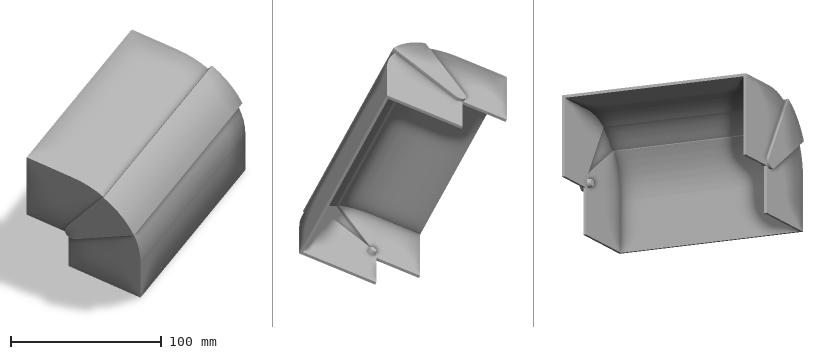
import cadquery as cq
import math

bend_radius = 52.1
arm_length = 35.9
edge_offset = 3.6
sheet = 2.0
fixed_half_width = 67.5
side_clearance = 0.1
swing_half_width = fixed_half_width - side_clearance

total_half_width = 69.8
band_radius = 54.5
ear_radius = 5.0
upper_edge = 57.5
lower_edge = 90 - upper_edge
lap = 1.4

pin_radius = 3.6
pin_tip_radius = 2.4
pin_taper_length = 5.2


def polar(radius, angle):
    a = math.radians(angle)
    return (radius * math.cos(a), radius * math.sin(a))


def offset_angle(radius, offset):
    """Angle seen from the pivot between an edge's direction and its end at the given radius."""
    return math.degrees(math.asin(offset / radius))


def extrude_across(outline, half_width):
    return outline.extrude(half_width, both=True)


def section():
    return cq.Workplane("XZ")


def fixed_outline(inset):
    """Left-hand cover outline, with its roof moved inward by inset."""
    radius = bend_radius - inset
    offset = ear_radius - lap
    end_angle = upper_edge + offset_angle(radius, offset)
    return (
        section()
        .moveTo(-arm_length, -edge_offset)
        .lineTo(-arm_length, radius)
        .lineTo(0, radius)
        .threePointArc(polar(radius, (90 + end_angle) / 2), polar(radius, end_angle))
        .lineTo(*polar(offset, upper_edge + 90))
        .lineTo(-edge_offset, -edge_offset)
        .close()
    )


def swing_outline(inset):
    """Lower cover outline with a rounded ear, with its roof moved inward by inset."""
    radius = bend_radius - inset
    end_angle = lower_edge + offset_angle(radius, ear_radius)
    ear_end = 180 + math.degrees(math.acos(edge_offset / ear_radius))
    return (
        section()
        .moveTo(-edge_offset, -arm_length)
        .lineTo(radius, -arm_length)
        .lineTo(radius, 0)
        .threePointArc(polar(radius, end_angle / 2), polar(radius, end_angle))
        .lineTo(*polar(ear_radius, lower_edge + 90))
        .threePointArc(polar(ear_radius, (lower_edge + 90 + ear_end) / 2), polar(ear_radius, ear_end))
        .close()
    )


def band_outline(radius):
    """Sector whose straight edges are tangent to the ear around the pivot."""
    spread = offset_angle(radius, ear_radius)
    middle = (upper_edge + lower_edge) / 2
    return (
        section()
        .moveTo(*polar(ear_radius, upper_edge + 90))
        .lineTo(*polar(radius, upper_edge + spread))
        .threePointArc(polar(radius, middle), polar(radius, lower_edge - spread))
        .lineTo(*polar(ear_radius, lower_edge - 90))
        .threePointArc(polar(ear_radius, middle + 180), polar(ear_radius, upper_edge + 90))
        .close()
    )


def make_pin(side):
    """Pin flush with the band's outer face, tapered through the cover; side is -1 or +1 along Y."""
    shank_end = fixed_half_width
    tip = shank_end - pin_taper_length
    return (
        cq.Workplane("XY")
        .moveTo(0, side * total_half_width)
        .lineTo(pin_radius, side * total_half_width)
        .lineTo(pin_radius, side * shank_end)
        .lineTo(pin_tip_radius, side * tip)
        .lineTo(0, side * tip)
        .close()
        .revolve(360, (0, 0, 0), (0, 1, 0))
    )


def cut_pin_holes(body):
    for pin in pins:
        body = body.cut(pin)
    return body


def make_fixed_cover():
    """Fixed cover and raised band, open inside and clear of the swinging cover's ears."""
    cover = extrude_across(fixed_outline(0), fixed_half_width)
    cavity = extrude_across(fixed_outline(sheet), fixed_half_width - sheet)
    swing_space = extrude_across(swing_outline(0), fixed_half_width)
    cover = cover.cut(cavity).cut(swing_space)

    band = extrude_across(band_outline(band_radius), total_half_width)
    bend_space = extrude_across(section().circle(bend_radius), fixed_half_width)
    band = band.cut(bend_space)
    return cut_pin_holes(cover.union(band))


def make_swing_cover():
    cover = extrude_across(swing_outline(0), swing_half_width)
    cavity = extrude_across(swing_outline(sheet), swing_half_width - sheet)
    return cut_pin_holes(cover.cut(cavity))


pins = [make_pin(side) for side in (-1, 1)]
fixed_cover = make_fixed_cover()
swing_cover = make_swing_cover()

result = cq.Compound.makeCompound(
    [fixed_cover.val(), swing_cover.val(), *[pin.val() for pin in pins]]
)